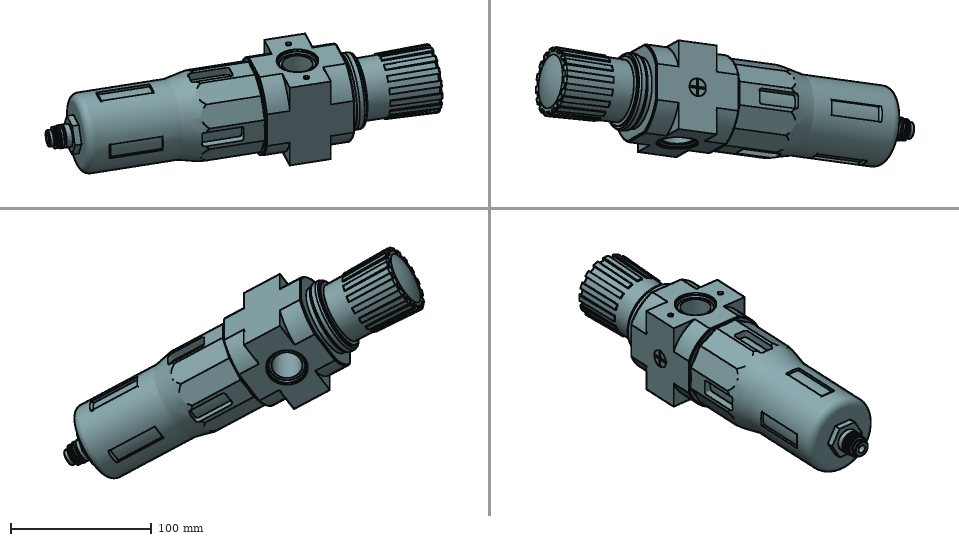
import cadquery as cq
import math


BLOCK_WIDTH = 66.0
BLOCK_HALF = BLOCK_WIDTH / 2
SQUARE_BAND_LENGTH = 30.5
END_DIAMETER = 71.0
END_CHAMFER = 1.0

COLLAR_STEM_RADIUS = 26.0
COLLAR_RADIUS = 28.0
COLLAR_START_Y = 36.5
COLLAR_END_Y = 43.5
COLLAR_BEVEL_WIDTH = 1.0
COLLAR_BEVEL_LENGTH = 1.7
RIM_RADIUS = 25.2
RIM_END_Y = 44.7
NECK_RADIUS = 20.0

PORT_BORE = 22.0
PORT_MOUTH_DIAMETERS = (30.0, 28.2, 25.8)
PORT_STEP_DEPTH = 1.5
SIDE_HOLE_SPACING = 46.0
SIDE_HOLE_DIAMETER = 2.0
SIDE_HOLE_MOUTH = 4.0
COUNTERSINK_ANGLE = 90
SIDE_HOLE_DEPTH = 5.8

PLUG_DIAMETER = 13.0
PLUG_LENGTH = 5.8
PLUG_SLOT_WIDTH = 1.2
PLUG_SLOT_DEPTH = 1.5

KNOB_START_Y = 45.5
KNOB_RIB_START_Y = 62.0
KNOB_SHOULDER_Y = 100.7
KNOB_TOP_Y = 104.8
KNOB_RADIUS = 22.5
KNOB_TOP_RADIUS = 23.5
KNOB_TOP_BEVEL = 1.7
DOME_RADIUS = 19.5
RIB_COUNT = 16
RIB_WIDTH = 4.4
RIB_START_RADIUS = 23.8
RIB_END_RADIUS = 25.0
RIB_BEVEL = 1.0

BOWL_RADIUS = 29.3
BOWL_END_Y = -164.3
BOWL_ROUNDING = 6.0
GUARD_SIDES = 12
GUARD_ACROSS_FLATS = 65.0
GUARD_START_Y = -33.7
GUARD_NECK_RADIUS = 32.0
GUARD_CONE_START_Y = -74.5
GUARD_CONE_END_Y = -94.0
WINDOW_COUNT = 4
WINDOW_WIDTH = 11.5
WINDOW_FLOOR_RADIUS = 27.3
GUARD_WINDOW_Y = (-80.0, -49.3)
GUARD_WINDOW_CORNER = 2.0
BOWL_WINDOW_Y = (-146.5, -108.3)
BOWL_WINDOW_SLOPE = 1.7

HEX_SIDES = 6
HEX_ACROSS_FLATS = 24.0
HEX_END_Y = -169.2
DRAIN_FLANGE_RADIUS = 8.5
DRAIN_BODY_RADIUS = 7.8
DRAIN_TIP_RADIUS = 6.0
DRAIN_WAIST_RADIUS = 5.5
DRAIN_FLANGE_END_Y = -173.5
DRAIN_RIM_START_Y = -175.3
DRAIN_RIM_END_Y = -177.0
DRAIN_BODY_END_Y = -181.0
DRAIN_TIP_START_Y = -182.3
DRAIN_END_Y = -185.5
DRAIN_HOLE_DIAMETER = 6.0
DRAIN_HOLE_DEPTH = 5.8
DRAIN_TIP_CHAMFER = 0.5
DRAIN_GROOVE_COUNT = 3
DRAIN_GROOVE_WIDTH = 0.5
DRAIN_GROOVE_DEPTH = 0.5


def around_y(outline):
    """Turn a closed outline of (radius, y) drawn on the XY plane about the Y axis."""
    return outline.close().revolve(360, (0, 0, 0), (0, 1, 0))


def turned(points):
    """Turned shape about the Y axis with straight edges through (radius, y) points."""
    return around_y(cq.Workplane("XY").polyline(points))


def along_y(start_y, end_y):
    """Workplane across the Y axis at start_y, and the extrusion length that reaches end_y."""
    return cq.Workplane("XZ", origin=(0, start_y, 0)), start_y - end_y


def make_block():
    plane, length = along_y(BLOCK_HALF, -BLOCK_HALF)
    rounded = plane.circle(END_DIAMETER / 2).extrude(length)
    rounded = rounded.intersect(cq.Workplane("XY").box(BLOCK_WIDTH, BLOCK_WIDTH, BLOCK_WIDTH))
    rounded = rounded.faces("<Y or >Y").chamfer(END_CHAMFER)
    band = cq.Workplane("XY").box(BLOCK_WIDTH, SQUARE_BAND_LENGTH, BLOCK_WIDTH)
    return rounded.union(band)


def make_collar():
    bevelled_radius = COLLAR_RADIUS - COLLAR_BEVEL_WIDTH
    return turned(
        [
            (0, 0),
            (COLLAR_STEM_RADIUS, 0),
            (COLLAR_STEM_RADIUS, COLLAR_START_Y),
            (bevelled_radius, COLLAR_START_Y),
            (COLLAR_RADIUS, COLLAR_START_Y + COLLAR_BEVEL_LENGTH),
            (COLLAR_RADIUS, COLLAR_END_Y - COLLAR_BEVEL_LENGTH),
            (bevelled_radius, COLLAR_END_Y),
            (RIM_RADIUS, COLLAR_END_Y),
            (RIM_RADIUS, RIM_END_Y),
            (NECK_RADIUS, RIM_END_Y),
            (NECK_RADIUS, KNOB_START_Y),
            (0, KNOB_START_Y),
        ]
    )


def make_port():
    """Through port along Z, widened at each mouth by bevelled steps."""
    depth = PORT_STEP_DEPTH * (len(PORT_MOUTH_DIAMETERS) - 1)
    half_port = [(0, BLOCK_HALF), (PORT_MOUTH_DIAMETERS[0] / 2, BLOCK_HALF)]
    step_top_z = BLOCK_HALF
    for outer, inner in zip(PORT_MOUTH_DIAMETERS, PORT_MOUTH_DIAMETERS[1:]):
        bevel = (outer - inner) / 2
        half_port.append((inner / 2, step_top_z - bevel))
        step_top_z -= PORT_STEP_DEPTH
        half_port.append((inner / 2, step_top_z))
    half_port += [(PORT_BORE / 2, BLOCK_HALF - depth), (PORT_BORE / 2, 0), (0, 0)]
    upper = cq.Workplane("XZ").polyline(half_port).close().revolve(360, (0, 0, 0), (0, 1, 0))
    return upper.union(upper.mirror("XY"))


def make_plug_blank():
    return cq.Workplane("YZ", origin=(-BLOCK_HALF, 0, 0)).circle(PLUG_DIAMETER / 2).extrude(PLUG_LENGTH)


def make_housing():
    housing = make_block().union(make_collar()).cut(make_port()).cut(make_plug_blank())
    return (
        housing.faces(">Z")
        .workplane(origin=(0, 0, BLOCK_HALF))
        .rarray(SIDE_HOLE_SPACING, 3, 2, 1)
        .cskHole(SIDE_HOLE_DIAMETER, SIDE_HOLE_MOUTH, COUNTERSINK_ANGLE, SIDE_HOLE_DEPTH)
    )


def make_plug():
    """Plug with a cross slot in its outer face."""
    plug = make_plug_blank()
    slot_plane = cq.Workplane("YZ", origin=(-BLOCK_HALF, 0, 0))
    for length, height in ((PLUG_DIAMETER, PLUG_SLOT_WIDTH), (PLUG_SLOT_WIDTH, PLUG_DIAMETER)):
        plug = plug.cut(slot_plane.rect(length, height).extrude(PLUG_SLOT_DEPTH))
    return plug


def make_knob_core():
    dome_rise = KNOB_TOP_Y - KNOB_SHOULDER_Y
    sphere_radius = (DOME_RADIUS**2 + dome_rise**2) / (2 * dome_rise)
    outline = (
        cq.Workplane("XY")
        .moveTo(0, KNOB_START_Y)
        .lineTo(KNOB_RADIUS, KNOB_START_Y)
        .lineTo(KNOB_TOP_RADIUS, KNOB_SHOULDER_Y - KNOB_TOP_BEVEL)
        .lineTo(KNOB_TOP_RADIUS - KNOB_TOP_BEVEL, KNOB_SHOULDER_Y)
        .lineTo(DOME_RADIUS, KNOB_SHOULDER_Y)
        .radiusArc((0, KNOB_TOP_Y), -sphere_radius)
    )
    return around_y(outline)


def make_knob():
    """Tapered knob with straight grip ribs along its side."""
    rib_envelope = turned(
        [
            (0, KNOB_RIB_START_Y),
            (RIB_START_RADIUS, KNOB_RIB_START_Y),
            (RIB_END_RADIUS, KNOB_SHOULDER_Y - RIB_BEVEL),
            (RIB_END_RADIUS - RIB_BEVEL, KNOB_SHOULDER_Y),
            (0, KNOB_SHOULDER_Y),
        ]
    )
    plane, length = along_y(KNOB_SHOULDER_Y, KNOB_RIB_START_Y)
    bar = plane.rect(2 * RIB_END_RADIUS, RIB_WIDTH).extrude(length)
    knob = make_knob_core()
    for i in range(RIB_COUNT // 2):
        turned_bar = bar.rotate((0, 0, 0), (0, 1, 0), i * 360 / RIB_COUNT)
        knob = knob.union(turned_bar.intersect(rib_envelope))
    return knob


def make_guard():
    """Twelve-sided sleeve whose end is turned down to a cone."""
    corner_radius = GUARD_ACROSS_FLATS / 2 / math.cos(math.pi / GUARD_SIDES)
    plane, length = along_y(GUARD_START_Y, GUARD_CONE_END_Y)
    prism = plane.polygon(GUARD_SIDES, 2 * corner_radius).extrude(length)
    prism = prism.rotate((0, 0, 0), (0, 1, 0), 180 / GUARD_SIDES)
    cone = turned(
        [
            (0, GUARD_START_Y),
            (corner_radius, GUARD_START_Y),
            (corner_radius, GUARD_CONE_START_Y),
            (BOWL_RADIUS, GUARD_CONE_END_Y),
            (0, GUARD_CONE_END_Y),
        ]
    )
    return prism.intersect(cone)


def make_windows():
    """One guard window and one bowl window, both reaching out along +Z."""
    start_y, end_y = GUARD_WINDOW_Y
    guard_window = (
        cq.Workplane("XY", origin=(0, (start_y + end_y) / 2, 0))
        .rect(WINDOW_WIDTH, end_y - start_y)
        .extrude(BLOCK_WIDTH)
        .edges("|Z")
        .fillet(GUARD_WINDOW_CORNER)
    )
    start_y, end_y = BOWL_WINDOW_Y
    slope_top_y = start_y - BOWL_WINDOW_SLOPE
    bowl_window = (
        cq.Workplane("YZ")
        .polyline(
            [
                (end_y, 0),
                (start_y, 0),
                (start_y, WINDOW_FLOOR_RADIUS),
                (slope_top_y, BOWL_RADIUS),
                (slope_top_y, BLOCK_WIDTH),
                (end_y, BLOCK_WIDTH),
            ]
        )
        .close()
        .extrude(WINDOW_WIDTH / 2, both=True)
    )
    plane, length = along_y(0, BOWL_END_Y)
    core = plane.circle(WINDOW_FLOOR_RADIUS).extrude(length)
    return guard_window.union(bowl_window).cut(core)


def make_drain():
    """Hexagon and turned outlet with shallow grooves and a blind hole in the tip."""
    plane, length = along_y(BOWL_END_Y, HEX_END_Y)
    hexagon = plane.polygon(HEX_SIDES, HEX_ACROSS_FLATS / math.cos(math.pi / HEX_SIDES)).extrude(length)
    steps = [
        (DRAIN_FLANGE_RADIUS, HEX_END_Y, DRAIN_FLANGE_END_Y),
        (DRAIN_TIP_RADIUS, DRAIN_FLANGE_END_Y, DRAIN_RIM_START_Y),
        (DRAIN_FLANGE_RADIUS, DRAIN_RIM_START_Y, DRAIN_RIM_END_Y),
        (DRAIN_BODY_RADIUS, DRAIN_RIM_END_Y, DRAIN_BODY_END_Y),
        (DRAIN_WAIST_RADIUS, DRAIN_BODY_END_Y, DRAIN_TIP_START_Y),
        (DRAIN_TIP_RADIUS, DRAIN_TIP_START_Y, DRAIN_END_Y),
    ]
    drain = hexagon
    for radius, start_y, end_y in steps:
        plane, length = along_y(start_y, end_y)
        drain = drain.union(plane.circle(radius).extrude(length))

    drain = drain.faces("<Y").edges().chamfer(DRAIN_TIP_CHAMFER)

    groove_pitch = (DRAIN_RIM_END_Y - DRAIN_BODY_END_Y) / (DRAIN_GROOVE_COUNT + 1)
    for i in range(DRAIN_GROOVE_COUNT):
        groove_y = DRAIN_RIM_END_Y - (i + 1) * groove_pitch + DRAIN_GROOVE_WIDTH / 2
        plane, length = along_y(groove_y, groove_y - DRAIN_GROOVE_WIDTH)
        groove = plane.circle(DRAIN_FLANGE_RADIUS).circle(DRAIN_BODY_RADIUS - DRAIN_GROOVE_DEPTH)
        drain = drain.cut(groove.extrude(length))

    plane, length = along_y(DRAIN_END_Y + DRAIN_HOLE_DEPTH, DRAIN_END_Y)
    return drain.cut(plane.circle(DRAIN_HOLE_DIAMETER / 2).extrude(length))


def make_bowl():
    """Guard, round bowl with windows on four sides, and the drain below it."""
    plane, length = along_y(GUARD_CONE_END_Y, BOWL_END_Y)
    cup = plane.circle(BOWL_RADIUS).extrude(length).faces("<Y").edges().fillet(BOWL_ROUNDING)
    plane, length = along_y(-BLOCK_HALF, GUARD_START_Y)
    neck = plane.circle(GUARD_NECK_RADIUS).extrude(length)
    bowl = make_guard().union(cup).union(neck)

    windows = make_windows()
    for i in range(WINDOW_COUNT):
        bowl = bowl.cut(windows.rotate((0, 0, 0), (0, 1, 0), i * 360 / WINDOW_COUNT))
    return bowl.union(make_drain())


housing = make_housing()
plug = make_plug()
knob = make_knob()
bowl = make_bowl()

result = cq.Compound.makeCompound([housing.val(), plug.val(), knob.val(), bowl.val()])